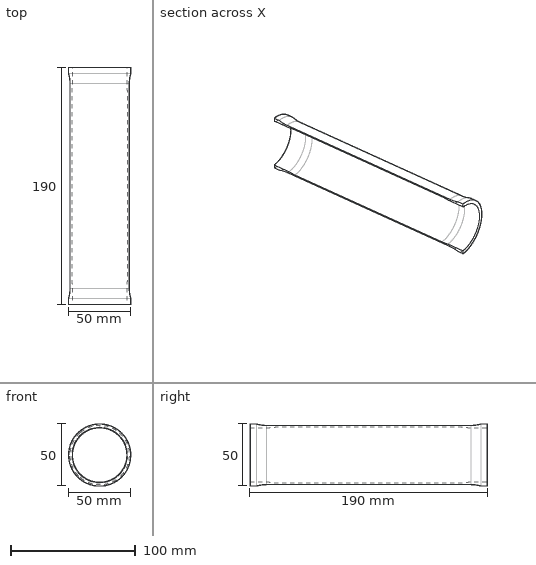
import cadquery as cq
import math

length = 190.0
half_length = length / 2

collar_radius = 25.0
collar_length = 5.0
flare_length = 8.0
body_radius = 23.8

wall = 1.5
bore_radius = body_radius - wall
mouth_radius = 21.75
mouth_length = 15.0
mouth_blend_length = 6.0


def blend_midpoint(blend_length, end_radius, middle_radius):
    """Midpoint of the arc that leaves the middle section tangentially and meets the end section.

    Returns its distance along Y from the middle section, and its radius from the axis.
    """
    step = end_radius - middle_radius
    rise = abs(step)
    arc_radius = (blend_length**2 + rise**2) / (2 * rise)
    half_angle = math.asin(blend_length / arc_radius) / 2
    along = arc_radius * math.sin(half_angle)
    outward = math.copysign(arc_radius * (1 - math.cos(half_angle)), step)
    return along, middle_radius + outward


def stepped_cylinder(end_radius, end_length, blend_length, middle_radius):
    """Revolved solid: equal ends joined by arc blends to a middle section of another radius."""
    end_y = half_length - end_length
    middle_y = end_y - blend_length
    along, mid_radius = blend_midpoint(blend_length, end_radius, middle_radius)
    mid_y = middle_y + along
    return (
        cq.Workplane("YZ")
        .moveTo(-half_length, 0)
        .lineTo(-half_length, end_radius)
        .lineTo(-end_y, end_radius)
        .threePointArc((-mid_y, mid_radius), (-middle_y, middle_radius))
        .lineTo(middle_y, middle_radius)
        .threePointArc((mid_y, mid_radius), (end_y, end_radius))
        .lineTo(half_length, end_radius)
        .lineTo(half_length, 0)
        .close()
        .revolve(360, (0, 0, 0), (1, 0, 0))
    )


outside = stepped_cylinder(collar_radius, collar_length, flare_length, body_radius)
inside = stepped_cylinder(mouth_radius, mouth_length, mouth_blend_length, bore_radius)

result = outside.cut(inside)